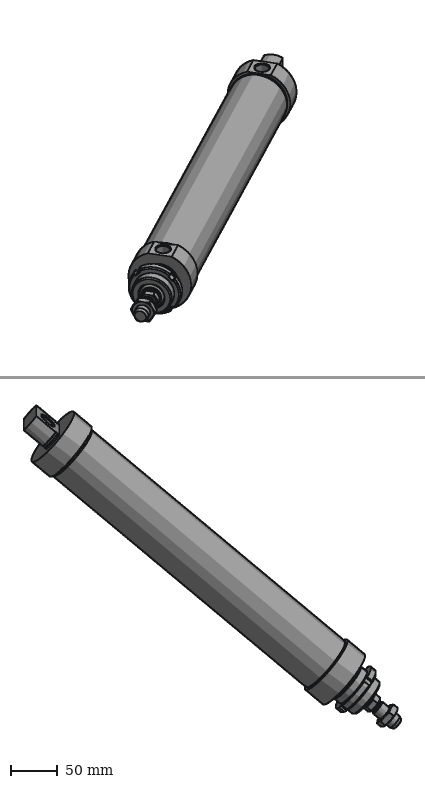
import cadquery as cq
import math

LENGTH = 524.0

HEAD_DIAMETER = 70.0
HEAD_WIDTH = 25.0
FRONT_FACE = 76.5
REAR_FACE = 491.5
FLAT_HEIGHT = 32.5
PORT_DIAMETER = 15.0
PORT_MOUTH_DIAMETER = 17.5
FRONT_PORT_OFFSET = 0.5
REAR_PORT_FLOOR_DIAMETER = 15.0

BARREL_DIAMETER = 65.0
SPIGOT_DIAMETER = 64.0
REAR_SPIGOT_LENGTH = 2.5
FRONT_SPIGOT_LENGTH = 1.0

NOSE_DIAMETER = 45.0
NOSE_END = 43.5
NOSE_CHAMFER = 1.5
UNDERCUT_DIAMETER = 43.0
UNDERCUT_WIDTH = 3.5
SEAL_GROOVE_DIAMETER = 30.0
LIP_BASE_DIAMETER = 27.0
LIP_TIP_DIAMETER = 22.0
SEAL_GROOVE_DEPTH = 2.5

LUG_THICKNESS = 21.0
LUG_HOLE_DIAMETER = 17.0
LUG_HOLE_MOUTH_DIAMETER = 19.5
LUG_HOLE_INSET = 17.0
LUG_GROOVE_WIDTH = 2.5
LUG_GROOVE_OFFSET = 2.0

RING_DIAMETER = 58.0
RING_FRONT = 54.5
RING_WIDTH = 8.5
RING_CHAMFER = 1.5
RING_SLOT_COUNT = 4
RING_SLOT_WIDTH = 7.0
RING_SLOT_DEPTH = 3.0
FIRST_SLOT_ANGLE = 45.0

ROD_DIAMETER = 21.0
ROD_STEP = 40.5
ROD_END_DIAMETER = 20.0
ROD_END_CHAMFER = 1.0
ROD_SHOULDER = 32.0
WRENCH_FLAT_WIDTH = 17.0
WRENCH_FLAT_LENGTH = 7.5
ROD_NECK_DIAMETER = 12.0
THREAD_DIAMETER = 16.0
THREAD_TOP = 30.0
THREAD_CHAMFER = 1.5
TIP_CHAMFER_LENGTH = 3.5

NUT_SIDES = 6
NUT_ACROSS_FLATS = 24.0
NUT_FRONT = 10.5
NUT_WIDTH = 8.0
NUT_CHAMFER_ANGLE = 30.0

FRONT_HEAD_BACK = FRONT_FACE + HEAD_WIDTH
REAR_HEAD_BACK = REAR_FACE - HEAD_WIDTH
BARREL_FRONT = FRONT_HEAD_BACK + FRONT_SPIGOT_LENGTH
BARREL_REAR = REAR_HEAD_BACK - REAR_SPIGOT_LENGTH


def cylinder_along_y(diameter, start, end):
    """Solid cylinder on the Y axis from Y = start to Y = end."""
    return cq.Workplane("XZ", origin=(0, start, 0)).circle(diameter / 2).extrude(start - end)


def chamfered_drill(diameter, mouth_diameter, depth):
    """Drill that enters downwards at Z = 0 and has a 45 degree countersink."""
    countersink_depth = (mouth_diameter - diameter) / 2
    return (
        cq.Workplane("XZ")
        .lineTo(mouth_diameter / 2, 0)
        .lineTo(diameter / 2, -countersink_depth)
        .lineTo(diameter / 2, -depth)
        .lineTo(0, -depth)
        .close()
        .revolve(360, (0, 0, 0), (0, 1, 0))
    )


def head_block(start, end, port_y, port_floor_diameter):
    """Round head with a flat on top and a port that ends on a round floor around the axis."""
    head = cylinder_along_y(HEAD_DIAMETER, start, end)
    above_flat = cq.Workplane("XY", origin=(0, (start + end) / 2, FLAT_HEIGHT)).rect(
        HEAD_DIAMETER, end - start
    ).extrude(HEAD_DIAMETER)
    port = chamfered_drill(PORT_DIAMETER, PORT_MOUTH_DIAMETER, FLAT_HEIGHT)
    port = port.translate((0, port_y, FLAT_HEIGHT))
    port = port.cut(cylinder_along_y(port_floor_diameter, start, end))
    return head.cut(above_flat).cut(port)


def make_barrel():
    """Plain round barrel between the two spigots."""
    return cylinder_along_y(BARREL_DIAMETER, BARREL_FRONT, BARREL_REAR)


def make_front_head():
    """Front head with its spigot, undercut nose, tapered seal lip and rod bore."""
    nose_back = FRONT_FACE - UNDERCUT_WIDTH
    nose = cylinder_along_y(NOSE_DIAMETER, NOSE_END, nose_back).faces("<Y or >Y").chamfer(NOSE_CHAMFER)
    undercut = cylinder_along_y(UNDERCUT_DIAMETER, nose_back, FRONT_FACE)
    spigot = cylinder_along_y(SPIGOT_DIAMETER, FRONT_HEAD_BACK, BARREL_FRONT)
    lip = (
        cq.Workplane("XZ", origin=(0, NOSE_END, 0))
        .circle(LIP_TIP_DIAMETER / 2)
        .workplane(offset=-SEAL_GROOVE_DEPTH)
        .circle(LIP_BASE_DIAMETER / 2)
        .loft()
    )
    seal_groove = cylinder_along_y(SEAL_GROOVE_DIAMETER, NOSE_END, NOSE_END + SEAL_GROOVE_DEPTH).cut(lip)
    rod_bore = cylinder_along_y(ROD_DIAMETER, NOSE_END, BARREL_FRONT)
    port_y = (FRONT_FACE + FRONT_HEAD_BACK) / 2 + FRONT_PORT_OFFSET
    head = head_block(FRONT_FACE, FRONT_HEAD_BACK, port_y, ROD_DIAMETER)
    head = head.union(nose).union(undercut).union(spigot)
    return head.cut(seal_groove).cut(rod_bore)


def make_rear_head():
    """Rear head with its spigot and a flat-sided, grooved lug that has a countersunk cross hole."""
    groove_start = REAR_FACE + LUG_GROOVE_OFFSET
    groove_end = groove_start + LUG_GROOVE_WIDTH
    collar = cylinder_along_y(NOSE_DIAMETER, REAR_FACE, groove_start)
    groove_floor = cylinder_along_y(UNDERCUT_DIAMETER, groove_start, groove_end)
    lug = cylinder_along_y(NOSE_DIAMETER, groove_end, LENGTH).union(groove_floor).union(collar)
    slab = cq.Workplane("XY").box(LUG_THICKNESS, 2 * LENGTH, NOSE_DIAMETER)
    half_hole = chamfered_drill(LUG_HOLE_DIAMETER, LUG_HOLE_MOUTH_DIAMETER, LUG_THICKNESS / 2)
    half_hole = half_hole.translate((0, 0, LUG_THICKNESS / 2)).rotate((0, 0, 0), (0, 1, 0), 90)
    half_hole = half_hole.translate((0, LENGTH - LUG_HOLE_INSET, 0))
    lug = lug.intersect(slab).cut(half_hole).cut(half_hole.mirror("YZ"))
    spigot = cylinder_along_y(SPIGOT_DIAMETER, BARREL_REAR, REAR_HEAD_BACK)
    port_y = (REAR_HEAD_BACK + REAR_FACE) / 2
    head = head_block(REAR_HEAD_BACK, REAR_FACE, port_y, REAR_PORT_FLOOR_DIAMETER)
    return head.union(spigot).union(lug)


def make_ring_nut():
    """Round nut chamfered on its front edge, with wrench slots around its rim."""
    ring_back = RING_FRONT + RING_WIDTH
    ring = cylinder_along_y(RING_DIAMETER, RING_FRONT, ring_back).faces("<Y").chamfer(RING_CHAMFER)
    ring = ring.cut(cylinder_along_y(NOSE_DIAMETER, RING_FRONT, ring_back))
    slot = cq.Workplane("XY").box(2 * RING_SLOT_DEPTH, RING_WIDTH, RING_SLOT_WIDTH).translate(
        (RING_DIAMETER / 2, RING_FRONT + RING_WIDTH / 2, 0)
    )
    for index in range(RING_SLOT_COUNT):
        angle = FIRST_SLOT_ANGLE + index * 360 / RING_SLOT_COUNT
        ring = ring.cut(slot.rotate((0, 0, 0), (0, 1, 0), angle))
    return ring


def make_rod():
    """Stepped rod turned down to a neck and a thread-diameter end, with two wrench flats."""
    tip_radius = THREAD_DIAMETER / 2 - THREAD_CHAMFER
    rod = (
        cq.Workplane("XY")
        .moveTo(0, 0)
        .lineTo(tip_radius, 0)
        .lineTo(THREAD_DIAMETER / 2, TIP_CHAMFER_LENGTH)
        .lineTo(THREAD_DIAMETER / 2, THREAD_TOP - THREAD_CHAMFER)
        .lineTo(tip_radius, THREAD_TOP)
        .lineTo(ROD_NECK_DIAMETER / 2, THREAD_TOP)
        .lineTo(ROD_NECK_DIAMETER / 2, ROD_SHOULDER)
        .lineTo(ROD_END_DIAMETER / 2 - ROD_END_CHAMFER, ROD_SHOULDER)
        .lineTo(ROD_END_DIAMETER / 2, ROD_SHOULDER + ROD_END_CHAMFER)
        .lineTo(ROD_END_DIAMETER / 2, ROD_STEP)
        .lineTo(ROD_DIAMETER / 2, ROD_STEP)
        .lineTo(ROD_DIAMETER / 2, BARREL_FRONT)
        .lineTo(0, BARREL_FRONT)
        .close()
        .revolve(360, (0, 0, 0), (0, 1, 0))
    )
    flat_middle = ROD_SHOULDER + WRENCH_FLAT_LENGTH / 2
    upper_cut = cq.Workplane("XY", origin=(0, flat_middle, WRENCH_FLAT_WIDTH / 2)).rect(
        ROD_DIAMETER, WRENCH_FLAT_LENGTH
    ).extrude(ROD_DIAMETER)
    return rod.cut(upper_cut).cut(upper_cut.mirror("XY"))


def make_rod_nut():
    """Hexagonal nut with two corners pointing along X and its corners chamfered at both ends."""
    corner_radius = NUT_ACROSS_FLATS / 2 / math.cos(math.pi / NUT_SIDES)
    face_radius = NUT_ACROSS_FLATS / 2
    chamfer_height = (corner_radius - face_radius) * math.tan(math.radians(NUT_CHAMFER_ANGLE))
    nut_back = NUT_FRONT + NUT_WIDTH
    hexagon = cq.Workplane("XZ", origin=(0, NUT_FRONT, 0)).polygon(NUT_SIDES, 2 * corner_radius)
    hexagon = hexagon.extrude(-NUT_WIDTH)
    rounding = (
        cq.Workplane("XY")
        .moveTo(0, NUT_FRONT)
        .lineTo(face_radius, NUT_FRONT)
        .lineTo(corner_radius, NUT_FRONT + chamfer_height)
        .lineTo(corner_radius, nut_back - chamfer_height)
        .lineTo(face_radius, nut_back)
        .lineTo(0, nut_back)
        .close()
        .revolve(360, (0, 0, 0), (0, 1, 0))
    )
    nut = hexagon.intersect(rounding)
    return nut.cut(cylinder_along_y(THREAD_DIAMETER, NUT_FRONT, nut_back))


barrel = make_barrel()
front_head = make_front_head()
rear_head = make_rear_head()
ring_nut = make_ring_nut()
rod = make_rod()
rod_nut = make_rod_nut()

result = cq.Compound.makeCompound(
    [barrel.val(), front_head.val(), rear_head.val(), ring_nut.val(), rod.val(), rod_nut.val()]
)